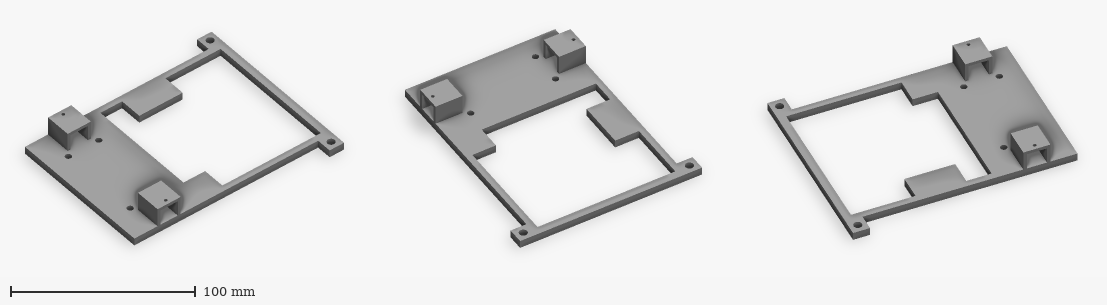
import cadquery as cq

length = 137.0
overall_width = 115.0
overall_height = 17.3
thickness = 5.0
ear_size = 10.0
body_width = overall_width - 2 * ear_size

side_rail = 4.0
far_rail = 5.0
window_near = 49.0
tab_width = 15.0
left_tab_near = 64.0
left_tab_length = 30.0
corner_tab_length = 15.0

bracket_width = 17.0
bracket_near = 16.0
bracket_length = 16.0
bracket_wall = 2.0
bracket_hole_diameter = 2.0
bracket_hole_inset = 3.0

ear_hole_diameter = 5.0
ear_hole_spacing = overall_width - ear_size
ear_hole_y = length - ear_size / 2
mount_hole_diameter = 4.0
mount_hole_spacing_x = 53.5
mount_hole_spacing_y = 21.0
mount_hole_centre_y = bracket_near + bracket_length / 2


def block(x_min, y_min, z_min, x_size, y_size, z_size):
    """Box placed by its lowest corner."""
    return cq.Workplane("XY").box(x_size, y_size, z_size, centered=False).translate((x_min, y_min, z_min))


def make_plate():
    """T-shaped plate with a window and two tabs inside it."""
    body = block(-body_width / 2, 0, 0, body_width, length, thickness)
    ears = block(-overall_width / 2, length - ear_size, 0, overall_width, ear_size, thickness)

    window_width = body_width - 2 * side_rail
    window_length = length - far_rail - window_near
    window_left = -window_width / 2
    window = block(window_left, window_near, 0, window_width, window_length, thickness)

    left_tab = block(window_left, left_tab_near, 0, tab_width, left_tab_length, thickness)
    corner_tab = block(window_width / 2 - tab_width, window_near, 0, tab_width, corner_tab_length, thickness)
    return body.union(ears).cut(window).union(left_tab).union(corner_tab)


def make_bracket(side):
    """Bracket flush with one side edge: side is -1 for -X and +1 for +X."""
    x_min = side * (body_width - bracket_width) / 2 - bracket_width / 2
    height = overall_height - thickness
    opening_length = bracket_length - 2 * bracket_wall
    shell = block(x_min, bracket_near, thickness, bracket_width, bracket_length, height)
    opening = block(
        x_min, bracket_near + bracket_wall, thickness,
        bracket_width, opening_length, height - bracket_wall,
    )
    roof_hole = (
        cq.Workplane("XY", origin=(0, 0, thickness))
        .center(side * (body_width / 2 - bracket_hole_inset), bracket_near + bracket_length / 2)
        .circle(bracket_hole_diameter / 2)
        .extrude(height)
    )
    return shell.cut(opening).cut(roof_hole)


def make_mounting_holes():
    """Cutters for the two ear holes and the four holes between the brackets."""
    ear_holes = (
        cq.Workplane("XY")
        .center(0, ear_hole_y)
        .rarray(ear_hole_spacing, 1.4, 2, 1)
        .circle(ear_hole_diameter / 2)
        .extrude(thickness)
    )
    mount_holes = (
        cq.Workplane("XY")
        .center(0, mount_hole_centre_y)
        .rarray(mount_hole_spacing_x, mount_hole_spacing_y, 2, 2)
        .circle(mount_hole_diameter / 2)
        .extrude(thickness)
    )
    return ear_holes.union(mount_holes)


result = make_plate().cut(make_mounting_holes())
for bracket_side in (-1, 1):
    result = result.union(make_bracket(bracket_side))